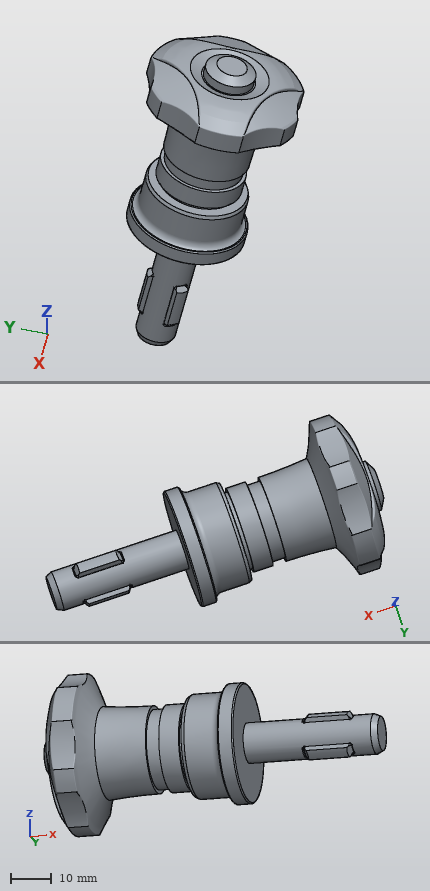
import cadquery as cq
import math

length = 85.2

tolerance = 0.01

button_r = 6.4
button_face_r = 3.8
button_chamfer_x = 1.45

knob_diameter = 40.0
knob_r = knob_diameter / 2
dish_floor_x = 3.8
dish_floor_r = 6.8
dish_rim_x = 2.55
dish_rim_r = 10.0
dome_mid_x = 3.15
dome_mid_r = 13.8
dome_end_x = 4.3
dome_end_r = 16.9
rim_front_x = 6.3
rim_back_x = 11.4
neck_mid_x = 12.9
neck_mid_r = 15.8
neck_x = 15.0
neck_r = 11.6

lobe_groups = 3
group_angle = 360 / lobe_groups
wide_lobe_angle = 33.8
scallop_offset = 26.3
scallop_depth = 1.8
scallop_r = 21.3
scallop_axis_r = knob_r - scallop_depth + scallop_r

recess_inner_x = 3.1
recess_inner_r = 11.4
recess_outer_x = 6.1
recess_outline_r = 30.7
step_fillet = 0.4
rim_fillet = 0.25

barrel_end_x = 27.8
barrel_end_r = 10.9
barrel_mid_r = 11.1
core_r = 10.0
ring_start_x = 31.2
ring_end_x = 36.2

sleeve_start_x = 37.3
sleeve_r = 13.0
sleeve_chamfer_x = 0.85
sleeve_chamfer_r = 0.4
flare_start_x = 45.2
flange_start_x = 47.1
flange_end_x = 51.1
flange_r = 15.0
flange_chamfer = 0.3
flange_lip = 0.7
flare_r = flange_r - flange_lip

shaft_r = 5.0
tip_chamfer_x = 1.6
tip_chamfer_r = 0.8

key_count = 3
key_start_x = 66.0
key_end_x = 78.3
key_top_r = 6.05
key_floor_r = 4.1
key_width = 3.3
key_slope_base_r = 4.6
key_slope_x = 1.1
key_corner = 0.5
key_gap = 0.25


def turned_body():
    """Whole turned profile without recesses, scallops and keys."""
    profile = (
        cq.Workplane("XY")
        .moveTo(0, 0)
        .lineTo(0, button_face_r)
        .lineTo(button_chamfer_x, button_r)
        .lineTo(dish_floor_x, button_r)
        .lineTo(dish_floor_x, dish_floor_r)
        .lineTo(dish_rim_x, dish_rim_r)
        .threePointArc((dome_mid_x, dome_mid_r), (dome_end_x, dome_end_r))
        .lineTo(rim_front_x, knob_r)
        .lineTo(rim_back_x, knob_r)
        .threePointArc((neck_mid_x, neck_mid_r), (neck_x, neck_r))
        .threePointArc(((neck_x + barrel_end_x) / 2, barrel_mid_r), (barrel_end_x, barrel_end_r))
        .lineTo(barrel_end_x, core_r)
        .lineTo(ring_start_x, core_r)
        .lineTo(ring_start_x, barrel_end_r)
        .lineTo(ring_end_x, barrel_end_r)
        .lineTo(ring_end_x, core_r)
        .lineTo(sleeve_start_x, core_r)
        .lineTo(sleeve_start_x, sleeve_r - sleeve_chamfer_r)
        .lineTo(sleeve_start_x + sleeve_chamfer_x, sleeve_r)
        .lineTo(flare_start_x, sleeve_r)
        .tangentArcPoint((flange_start_x, flare_r), relative=False)
        .lineTo(flange_start_x, flange_r - flange_chamfer)
        .lineTo(flange_start_x + flange_chamfer, flange_r)
        .lineTo(flange_end_x - flange_chamfer, flange_r)
        .lineTo(flange_end_x, flange_r - flange_chamfer)
        .lineTo(flange_end_x, shaft_r)
        .lineTo(length - tip_chamfer_x, shaft_r)
        .lineTo(length, shaft_r - tip_chamfer_r)
        .lineTo(length, 0)
        .close()
    )
    return profile.revolve(360, (0, 0, 0), (1, 0, 0))


def turn(shape, angle):
    """Shape rotated about the X axis."""
    return shape.rotate((0, 0, 0), (1, 0, 0), angle)


def recess_cutter():
    """Space in front of the conical recess floor, over a lobe that points along +Y."""
    slope = (recess_outer_x - recess_inner_x) / (knob_r - recess_inner_r)
    reach = 2 * knob_r - recess_inner_r
    outer_x = 2 * recess_outer_x - recess_inner_x
    apex_x = recess_inner_x - slope * recess_inner_r
    front_space = (
        cq.Workplane("XY")
        .polyline([(apex_x, 0), (outer_x, reach), (apex_x, reach)])
        .close()
        .revolve(360, (0, 0, 0), (1, 0, 0))
    )
    outline = (
        cq.Workplane("YZ", origin=(apex_x, 0, 0))
        .center(recess_inner_r + recess_outline_r, 0)
        .circle(recess_outline_r)
        .extrude(outer_x - apex_x)
    )
    return front_space.intersect(outline)


def scallop_cutter():
    """Cylinder parallel to X that hollows the rim on the +Y side."""
    return (
        cq.Workplane("YZ")
        .center(scallop_axis_r, 0)
        .circle(scallop_r)
        .extrude(neck_x)
    )


def key_plan(clearance, height):
    """Prism with cut corners on the +Y side, larger than the key by a clearance all round."""
    key_length = key_end_x - key_start_x
    return (
        cq.Workplane("XZ", origin=((key_start_x + key_end_x) / 2, key_floor_r, 0))
        .rect(key_length + 2 * clearance, key_width + 2 * clearance)
        .extrude(key_floor_r - height)
        .edges("|Y")
        .chamfer(key_corner)
    )


def shaft_key():
    """Key with a round top and sloping ends, standing on the +Y side of the shaft."""
    side_shape = (
        cq.Workplane("XY")
        .polyline([
            (key_start_x, key_floor_r),
            (key_start_x, key_slope_base_r),
            (key_start_x + key_slope_x, key_top_r),
            (key_end_x - key_slope_x, key_top_r),
            (key_end_x, key_slope_base_r),
            (key_end_x, key_floor_r),
        ])
        .close()
        .extrude(key_width, both=True)
    )
    round_top = cq.Workplane("YZ", origin=(key_start_x, 0, 0)).circle(key_top_r)
    return (
        key_plan(0, key_top_r)
        .intersect(side_shape)
        .intersect(round_top.extrude(key_end_x - key_start_x))
    )


def distance(point, axis_y, axis_z):
    """Distance of a point from a line parallel to X."""
    return math.hypot(point.y - axis_y, point.z - axis_z)


def is_step_edge(edge):
    """True for the top edges of the recess steps, which meet where the dome turns into the cone."""
    box = edge.BoundingBox()
    at_dome_end = min(abs(box.xmin - dome_end_x), abs(box.xmax - dome_end_x)) < tolerance
    return at_dome_end and box.xmax < rim_back_x and edge.geomType() == "BSPLINE"


def is_rim_edge(edge):
    """True for the front and back edges of the rim, on the lobes and in the scallops."""
    box = edge.BoundingBox()
    if box.xmax > neck_x or box.xmax - box.xmin > (rim_back_x - rim_front_x) / 2:
        return False
    axes = [(0, 0, knob_r)]
    for angle in scallop_angles:
        axis_y = scallop_axis_r * math.cos(math.radians(angle))
        axis_z = scallop_axis_r * math.sin(math.radians(angle))
        axes.append((axis_y, axis_z, scallop_r))
    points = [edge.positionAt(part) for part in (0, 0.5, 1)]
    return any(
        all(abs(distance(point, y, z) - radius) < tolerance for point in points)
        for y, z, radius in axes
    )


def fillet_where(body, test, radius):
    """Body with a fillet on every edge that passes the test."""
    chosen = [edge for edge in body.edges().vals() if test(edge)]
    return body.newObject(chosen).fillet(radius)


recess_angles = [(group + 0.5) * group_angle for group in range(lobe_groups)]
scallop_angles = [angle + side * scallop_offset for angle in recess_angles for side in (-1, 1)]

knob = turned_body()
for angle in recess_angles:
    knob = knob.cut(turn(recess_cutter(), angle))
knob = fillet_where(knob, is_step_edge, step_fillet)
for angle in scallop_angles:
    knob = knob.cut(turn(scallop_cutter(), angle))
knob = fillet_where(knob, is_rim_edge, rim_fillet)
knob = turn(knob, wide_lobe_angle)

result = knob
for key in range(key_count):
    key_angle = key * 360 / key_count
    result = result.cut(turn(key_plan(key_gap, key_top_r), key_angle))
    result = result.union(turn(shaft_key(), key_angle))